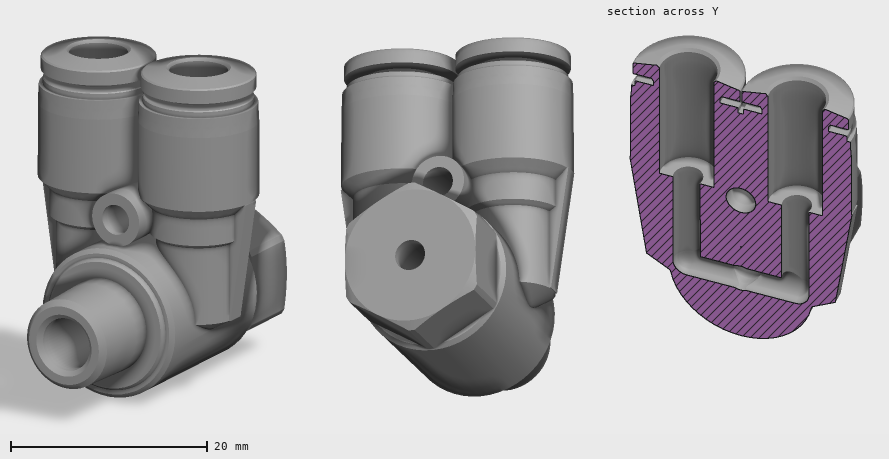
import cadquery as cq
import math


body_radius = 7.9
body_back = 8.3
body_front = -7.85
body_back_chamfer = 0.45
body_front_chamfer = 0.45
washer_radius = 7.0
washer_rim_radius = 6.7
washer_front = -8.75
thread_base_radius = 5.0
thread_tip_radius = 4.75
thread_front = -16.75
thread_chamfer_length = 0.6
hex_across_flats = 14.0
hex_front = body_back + body_back_chamfer
hex_back = 15.75
hex_chamfer_length = 0.5
hex_end_radius = hex_across_flats / 2

through_hole_diameter = 3.2
bore_diameter = 5.56
bore_mouth_diameter = 6.56
bore_depth = 10.0

port_spacing = 11.9
port_x = port_spacing / 2
stem_radius = 4.35
stem_tip_angle = 30.0
collar_radius = 5.0
collar_bottom = 8.65
collar_chamfer_height = 0.45
collar_top = 11.5
sleeve_bottom = 12.7
sleeve_radius = 6.2
sleeve_seam = 20.6
sleeve_top = 22.6
sleeve_top_radius = 6.1
lip_radius = 5.7
lip_chamfer = 0.1
lip_top = 23.3
neck_radius = 3.7
neck_flare_radius = 3.9
neck_flare_height = 0.3
ring_radius = 5.9
ring_bottom = 24.15
ring_edge = 25.55
ring_edge_chamfer = 0.15
port_top = 26.2
crown_height = 0.5

socket_diameter = 6.0
socket_mouth_diameter = 6.6
socket_bottom = 11.5
passage_diameter = 3.1

lug_diameter = 5.6
lug_hole_diameter = 3.2
lug_length = 13.0
lug_z = 10.65
rib_thickness = 2.0
rib_top_half_width = 12.2
rib_bottom_half_width = 10.35


def turned_about_y(points):
    """Revolve (radius, y) points, closed along the axis, about Y."""
    half_section = cq.Workplane("XY").polyline(points).close()
    return half_section.revolve(360, (0, 0), (0, 1)).rotate((0, 0, 0), (0, 1, 0), 90)


def turned_about_z(points):
    """Revolve (radius, z) points, closed along the axis, about Z."""
    return cq.Workplane("XZ").polyline(points).close().revolve(360, (0, 0), (0, 1))


def make_body():
    """Banjo body, washer and tapered thread."""
    return turned_about_y([
        (0, hex_front),
        (body_radius - body_back_chamfer, hex_front),
        (body_radius, body_back),
        (body_radius, body_front),
        (body_radius - body_front_chamfer, body_front - body_front_chamfer),
        (washer_radius, body_front - body_front_chamfer),
        (washer_rim_radius, washer_front),
        (thread_base_radius, washer_front),
        (thread_tip_radius, thread_front + thread_chamfer_length),
        (thread_tip_radius - thread_chamfer_length, thread_front),
        (0, thread_front),
    ])


def make_hex_head():
    """Hexagon with two flats facing X, its corners turned down to the body radius."""
    corner_diameter = hex_across_flats / math.cos(math.radians(30))
    hexagon = (
        cq.Workplane("XZ", origin=(0, hex_back, 0))
        .transformed(rotate=(0, 0, 30))
        .polygon(6, corner_diameter)
        .extrude(hex_back - hex_front)
    )
    envelope = turned_about_y([
        (0, hex_front),
        (body_radius, hex_front),
        (body_radius, hex_back - hex_chamfer_length),
        (hex_end_radius, hex_back),
        (0, hex_back),
    ])
    return hexagon.intersect(envelope)


def make_port(x):
    """One tube port: pointed stem, collar, sleeve and release ring."""
    stem_tip = -stem_radius * math.tan(math.radians(stem_tip_angle))
    return turned_about_z([
        (0, stem_tip),
        (stem_radius, 0),
        (stem_radius, collar_bottom - collar_chamfer_height),
        (collar_radius, collar_bottom),
        (collar_radius, collar_top),
        (sleeve_radius, sleeve_bottom),
        (sleeve_radius, sleeve_seam),
        (sleeve_top_radius, sleeve_top),
        (lip_radius, sleeve_top),
        (lip_radius, lip_top - lip_chamfer),
        (lip_radius - lip_chamfer, lip_top),
        (neck_radius, lip_top),
        (neck_radius, ring_bottom - neck_flare_height),
        (neck_flare_radius, ring_bottom),
        (ring_radius, ring_bottom),
        (ring_radius, ring_edge),
        (ring_radius - ring_edge_chamfer, port_top - crown_height),
        (socket_mouth_diameter / 2, port_top),
        (0, port_top),
    ]).translate((x, 0, 0))


def make_rib():
    """Flat plate along XZ that stiffens the stems and the gap between them."""
    return (
        cq.Workplane("XZ")
        .polyline([
            (-rib_bottom_half_width, 0),
            (rib_bottom_half_width, 0),
            (rib_top_half_width, sleeve_bottom),
            (-rib_top_half_width, sleeve_bottom),
        ])
        .close()
        .extrude(rib_thickness / 2, both=True)
    )


def cylinder_along_y(diameter, length, z):
    """Cylinder along Y, centred on the XZ plane at height z."""
    return cq.Workplane("XZ").center(0, z).circle(diameter / 2).extrude(length / 2, both=True)


def make_socket(x):
    """Tube socket with chamfered mouth and a passage that turns towards the bolt axis."""
    socket_radius = socket_diameter / 2
    mouth_radius = socket_mouth_diameter / 2
    passage_radius = passage_diameter / 2
    socket = turned_about_z([
        (0, 0),
        (passage_radius, 0),
        (passage_radius, socket_bottom),
        (socket_radius, socket_bottom),
        (socket_radius, port_top - (mouth_radius - socket_radius)),
        (mouth_radius, port_top),
        (0, port_top),
    ]).translate((x, 0, 0))
    elbow = cq.Workplane("XY").sphere(passage_radius).translate((x, 0, 0))
    crossing = cq.Workplane("YZ").circle(passage_radius).extrude(x)
    return socket.union(elbow).union(crossing)


def make_bolt_bore():
    """Bore from the thread end, chamfered at the mouth, with a smaller hole right through."""
    bore_radius = bore_diameter / 2
    mouth_radius = bore_mouth_diameter / 2
    hole_radius = through_hole_diameter / 2
    return turned_about_y([
        (0, thread_front),
        (mouth_radius, thread_front),
        (bore_radius, thread_front + mouth_radius - bore_radius),
        (bore_radius, thread_front + bore_depth),
        (hole_radius, thread_front + bore_depth),
        (hole_radius, hex_back),
        (0, hex_back),
    ])


result = make_port(-port_x).union(make_port(port_x))
result = result.union(make_rib())
result = result.union(cylinder_along_y(lug_diameter, lug_length, lug_z))
result = result.union(make_body().union(make_hex_head()))
for port_center in (-port_x, port_x):
    result = result.cut(make_socket(port_center))
result = result.cut(cylinder_along_y(lug_hole_diameter, lug_length, lug_z))
result = result.cut(make_bolt_bore()).solids()